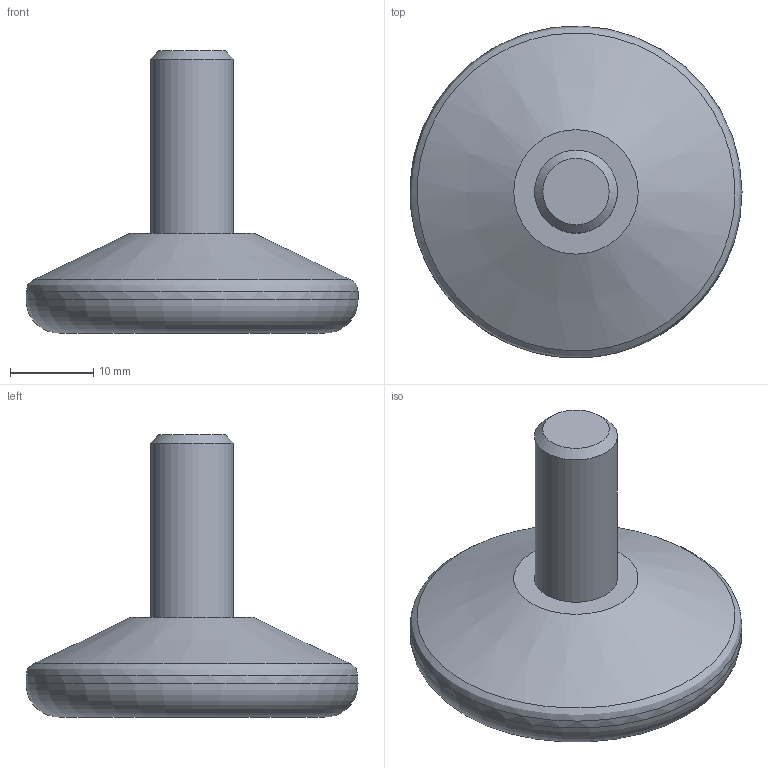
import cadquery as cq

foot_diameter = 40.0
foot_height = 12.0
rim_height = 6.0
hub_diameter = 15.0
bottom_edge_radius = 4.0
rim_edge_radius = 1.5

total_height = 34.0
stud_diameter = 10.0
stud_chamfer = 1.0


def make_foot():
    """Revolve the sharp-cornered half section about Z, then round its two outer edges."""
    foot_radius = foot_diameter / 2
    foot = (
        cq.Workplane("XZ")
        .moveTo(0, 0)
        .lineTo(foot_radius, 0)
        .lineTo(foot_radius, rim_height)
        .lineTo(hub_diameter / 2, foot_height)
        .lineTo(0, foot_height)
        .close()
        .revolve(360, (0, 0, 0), (0, 1, 0))
    )
    foot = foot.faces("<Z").edges().fillet(bottom_edge_radius)
    return foot.edges("%CIRCLE").edges(">>Z[-2]").fillet(rim_edge_radius)


def make_stud():
    """Pin from the top of the foot, chamfered at its free end."""
    return (
        cq.Workplane("XY")
        .workplane(offset=foot_height)
        .circle(stud_diameter / 2)
        .extrude(total_height - foot_height)
        .faces(">Z")
        .chamfer(stud_chamfer)
    )


result = make_foot().union(make_stud())